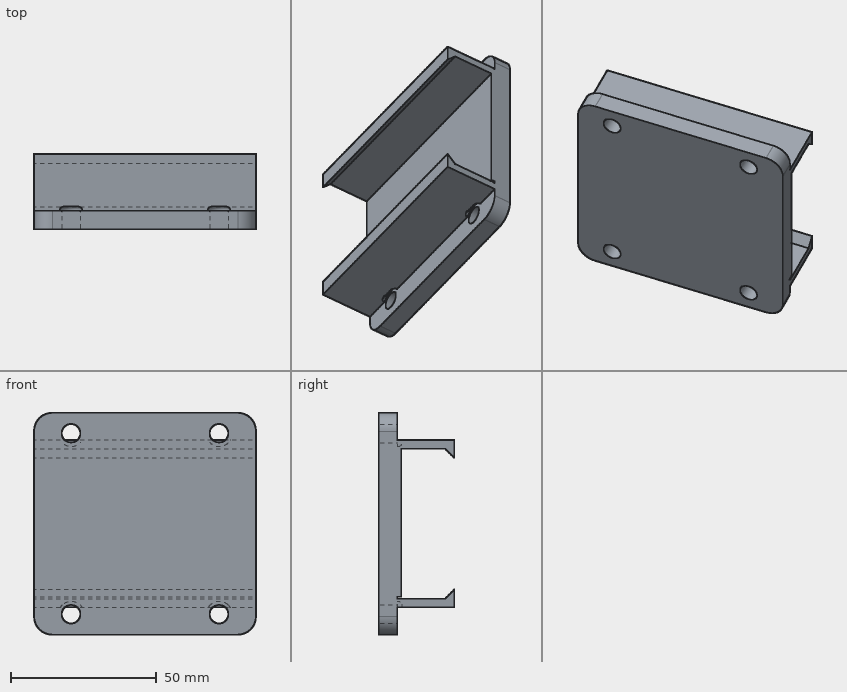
import cadquery as cq

plate_size = 76.2
plate_thickness = 6.4
corner_radius = 6.3
overall_depth = 25.9

arm_outer_height = 28.7
arm_thickness = 3.05
barb_size = 3.1

pad_depth = 1.4
pad_gap = 0.6

hole_diameter = 6.3
hole_spacing_x = 50.75
hole_spacing_z = 62.0
relief_depth = 1.5
relief_edge_radius = 1.3

arm_inner_height = arm_outer_height - arm_thickness


def make_plate():
    plate = cq.Workplane("XY").box(plate_size, plate_thickness, plate_size, centered=(True, False, True))
    return plate.edges("|Y").fillet(corner_radius)


def make_upper_arm():
    """Flat arm whose free end carries a barb with a 45 degree inner face."""
    profile = [
        (plate_thickness, arm_outer_height),
        (overall_depth, arm_outer_height),
        (overall_depth, arm_inner_height - barb_size),
        (overall_depth - barb_size, arm_inner_height),
        (plate_thickness, arm_inner_height),
    ]
    return cq.Workplane("YZ").polyline(profile).close().extrude(plate_size / 2, both=True)


def make_pad():
    pad_height = 2 * arm_inner_height - pad_gap
    pad = cq.Workplane("XY").box(plate_size, pad_depth, pad_height, centered=(True, False, True))
    return pad.translate((0, plate_thickness, pad_gap / 2))


def make_hole_cutter():
    """Straight hole whose rear end widens into a relief with a quarter-round edge."""
    hole_radius = hole_diameter / 2
    relief_end = plate_thickness + relief_depth
    arc_start = relief_end - relief_edge_radius
    arc_offset = relief_edge_radius * 0.5**0.5
    return (
        cq.Workplane("XY")
        .lineTo(hole_radius, 0)
        .lineTo(hole_radius, plate_thickness)
        .lineTo(hole_radius + relief_edge_radius, plate_thickness)
        .lineTo(hole_radius + relief_edge_radius, arc_start)
        .threePointArc(
            (hole_radius + arc_offset, arc_start + arc_offset),
            (hole_radius, relief_end),
        )
        .lineTo(0, relief_end)
        .close()
        .revolve(360, (0, 0, 0), (0, 1, 0))
    )


upper_arm = make_upper_arm()
lower_arm = upper_arm.mirror("XY")
result = make_plate().union(upper_arm).union(lower_arm).union(make_pad())

hole_cutter = make_hole_cutter()
for side_x in (-1, 1):
    for side_z in (-1, 1):
        hole_center = (side_x * hole_spacing_x / 2, 0, side_z * hole_spacing_z / 2)
        result = result.cut(hole_cutter.translate(hole_center))